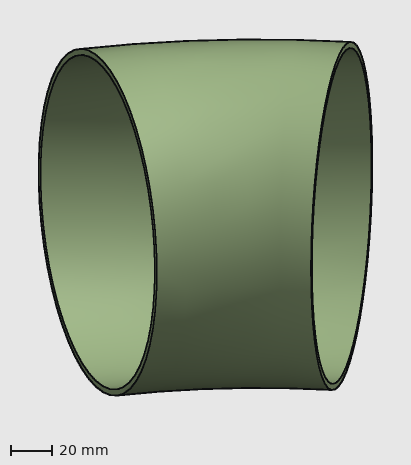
import cadquery as cq

outer_diameter = 168.3
wall_thickness = 3.0
bend_radius = 228.0
bend_angle = 30

inner_diameter = outer_diameter - 2 * wall_thickness

end_ring = cq.Workplane("XZ").circle(outer_diameter / 2).circle(inner_diameter / 2)

result = end_ring.revolve(bend_angle, (bend_radius, 0, 0), (bend_radius, -1, 0))